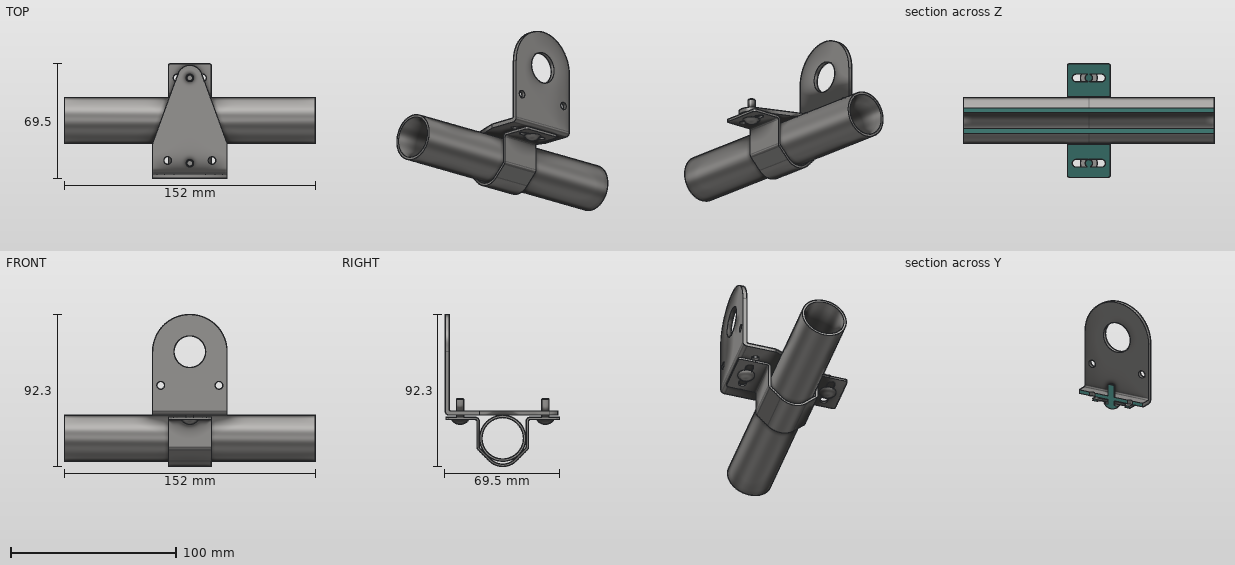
import cadquery as cq
import math

pipe_length = 152.0
pipe_diameter = 28.0
pipe_wall = 1.5
pipe_radius = pipe_diameter / 2

bracket_thickness = 2.6
bracket_width = 45.3
bracket_front_y = -35.0
bracket_top_z = 75.1
bracket_bend_radius = 2.6
bracket_inner_bend_radius = 0.9
taper_start_y = -14.1
tip_radius = 7.6
bracket_bottom_z = pipe_radius
plate_arc_radius = bracket_width / 2
plate_arc_z = bracket_top_z - plate_arc_radius

large_hole_diameter = 19.0
small_hole_diameter = 4.5
plate_hole_x = 17.6
plate_hole_z = 32.0
base_hole_x = 13.4
base_hole_y = -24.2

strap_thickness = 1.5
strap_width = 26.1
strap_span = 69.0
strap_top_z = 12.8
strap_wall_y = 15.7
strap_bend_radius = 0.9
strap_bottom_radius = 10.0
strap_corner_radius = 1.5
slot_length = 19.9
slot_width = 4.5

screw_y = 25.8
screw_diameter = 4.5
screw_top_z = 24.2
screw_tip_chamfer = 0.6
head_diameter = 10.3
head_height = 2.9


def make_pipe():
    ring = cq.Workplane("YZ").circle(pipe_radius).circle(pipe_radius - pipe_wall)
    return ring.extrude(pipe_length / 2, both=True)


def round_edge(body, y, z, radius):
    """Fillet the edge along X that passes through (y, z)."""
    return body.edges(cq.NearestToPointSelector((0, y, z))).fillet(radius)


def bracket_base():
    """Horizontal leg: straight at the front, tapering tangentially to a round tip."""
    half_width = bracket_width / 2
    rise = screw_y - taper_start_y
    to_tip = math.hypot(half_width, rise)
    tangent_angle = math.atan2(-rise, half_width) + math.acos(tip_radius / to_tip)
    tangent_x = tip_radius * math.cos(tangent_angle)
    tangent_y = screw_y + tip_radius * math.sin(tangent_angle)
    return (
        cq.Workplane("XY", origin=(0, 0, bracket_bottom_z))
        .moveTo(-half_width, bracket_front_y)
        .lineTo(half_width, bracket_front_y)
        .lineTo(half_width, taper_start_y)
        .lineTo(tangent_x, tangent_y)
        .threePointArc((0, screw_y + tip_radius), (-tangent_x, tangent_y))
        .lineTo(-half_width, taper_start_y)
        .close()
        .extrude(bracket_thickness)
    )


def bracket_plate():
    """Upright leg with a semicircular top."""
    half_width = bracket_width / 2
    return (
        cq.Workplane("XZ", origin=(0, bracket_front_y, 0))
        .moveTo(-half_width, bracket_bottom_z)
        .lineTo(half_width, bracket_bottom_z)
        .lineTo(half_width, plate_arc_z)
        .threePointArc((0, bracket_top_z), (-half_width, plate_arc_z))
        .close()
        .extrude(-bracket_thickness)
    )


def through_plate(x, z, diameter):
    """Cylinder crossing the upright leg."""
    plane = cq.Workplane("XZ", origin=(x, bracket_front_y, z))
    return plane.circle(diameter / 2).extrude(-bracket_thickness)


def through_base(x, y, diameter):
    """Cylinder crossing the horizontal leg."""
    plane = cq.Workplane("XY", origin=(x, y, bracket_bottom_z))
    return plane.circle(diameter / 2).extrude(bracket_thickness)


def make_bracket():
    bracket = bracket_base().union(bracket_plate())
    bracket = round_edge(bracket, bracket_front_y, bracket_bottom_z, bracket_bend_radius)
    bracket = round_edge(
        bracket,
        bracket_front_y + bracket_thickness,
        bracket_bottom_z + bracket_thickness,
        bracket_inner_bend_radius,
    )
    holes = [through_plate(0, plate_arc_z, large_hole_diameter)]
    for side in (-1, 1):
        holes.append(through_plate(side * plate_hole_x, plate_hole_z, small_hole_diameter))
        holes.append(through_base(side * base_hole_x, base_hole_y, small_hole_diameter))
    for hole in holes:
        bracket = bracket.cut(hole)
    return bracket


def make_strap():
    """Hat-shaped strap whose 45 degree sides bear on the pipe."""
    end_y = strap_span / 2
    inner_y = strap_wall_y - strap_thickness
    bottom_z = strap_top_z - strap_thickness
    inner_apex_z = -pipe_radius * math.sqrt(2)
    outer_apex_z = -(pipe_radius + strap_thickness) * math.sqrt(2)
    inner_knee_z = inner_apex_z + inner_y
    outer_knee_z = outer_apex_z + strap_wall_y
    inner_half = [(end_y, strap_top_z), (inner_y, strap_top_z), (inner_y, inner_knee_z)]
    outer_half = [(end_y, bottom_z), (strap_wall_y, bottom_z), (strap_wall_y, outer_knee_z)]
    inner_path = [(-y, z) for y, z in inner_half] + [(0, inner_apex_z)] + inner_half[::-1]
    outer_path = outer_half + [(0, outer_apex_z)] + [(-y, z) for y, z in outer_half[::-1]]
    strap = cq.Workplane("YZ").polyline(inner_path + outer_path).close()
    strap = strap.extrude(strap_width / 2, both=True)

    outside_radius = strap_bend_radius + strap_thickness
    for side in (-1, 1):
        strap = round_edge(strap, side * inner_y, strap_top_z, outside_radius)
        strap = round_edge(strap, side * strap_wall_y, bottom_z, strap_bend_radius)
        strap = round_edge(strap, side * inner_y, inner_knee_z, strap_bend_radius)
        strap = round_edge(strap, side * strap_wall_y, outer_knee_z, outside_radius)
    strap = round_edge(strap, 0, inner_apex_z, strap_bottom_radius)
    strap = round_edge(strap, 0, outer_apex_z, strap_bottom_radius + strap_thickness)

    strap = strap.edges("|Z").edges("<Y or >Y").fillet(strap_corner_radius)
    slots = (
        cq.Workplane("XY", origin=(0, 0, bottom_z))
        .pushPoints([(0, -screw_y), (0, screw_y)])
        .slot2D(slot_length, slot_width)
        .extrude(strap_thickness)
    )
    return strap.cut(slots)


def make_screw(y):
    """Screw pointing up, with its domed head under the strap flange."""
    head_top_z = strap_top_z - strap_thickness
    shank = (
        cq.Workplane("XY", origin=(0, y, head_top_z))
        .circle(screw_diameter / 2)
        .extrude(screw_top_z - head_top_z)
        .faces(">Z")
        .chamfer(screw_tip_chamfer)
    )
    head_radius = head_diameter / 2
    dome_radius = (head_radius ** 2 + head_height ** 2) / (2 * head_height)
    dome_centre_z = head_top_z - head_height + dome_radius
    below_strap = (
        cq.Workplane("XY", origin=(0, y, head_top_z)).circle(head_diameter).extrude(-head_height)
    )
    dome = cq.Workplane("XY", origin=(0, y, dome_centre_z)).sphere(dome_radius)
    return shank.union(dome.intersect(below_strap))


def make_clamp():
    """Bracket, strap and both screws joined as one body."""
    clamp = make_bracket().union(make_strap())
    for y in (-screw_y, screw_y):
        clamp = clamp.union(make_screw(y))
    return clamp


pipe = make_pipe()
clamp = make_clamp()

result = cq.Compound.makeCompound([pipe.solids().val(), clamp.solids().val()])